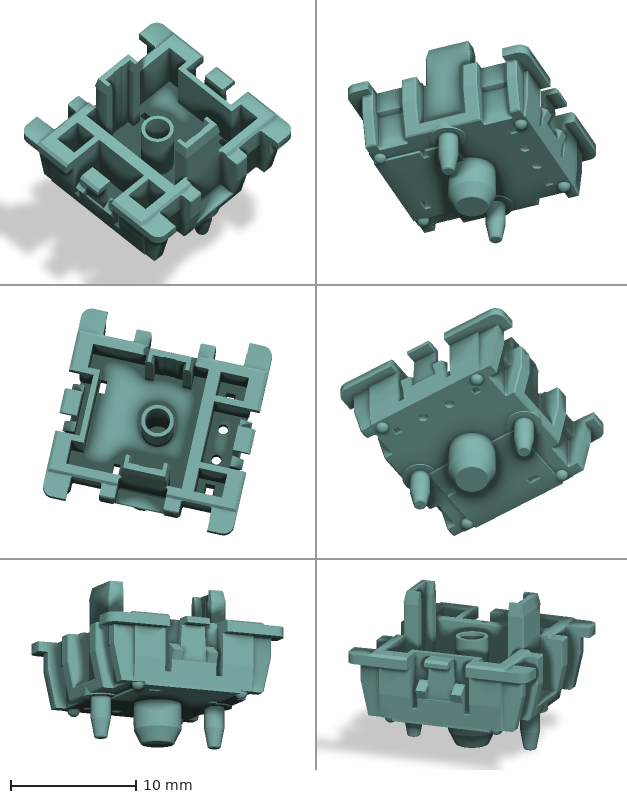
import cadquery as cq


RIM_HALF_X = 5.87
RIM_HALF_Y = 7.8
RIM_BOTTOM = -1.0
BEVEL_X = 0.2
BEVEL_Y = 0.25
BEVEL_Z = 0.2
FLANGE_HALF = 7.8
FLANGE_INNER_Y = 5.8
FLANGE_RADIUS = 0.85

BODY_BOTTOM = -5.5
FLOOR_TOP = -4.5
FACE_HALF_X = 5.21
FACE_Y = 6.95
FACE_FOOT_Y = 6.75
FACE_BEND_Z = -3.5
CORE_HALF_Y = 6.67
SIDE_STEP_TOP = -2.08
SIDE_STEP_FOOT = -2.28
LOWER_HALF_X = 5.42
PAD_BOTTOM = -5.72
PAD_HALF_X = 4.2

RIB_X = 6.95
RIB_FOOT_X = 6.26
RIB_BEND_Z = -2.5
RIB_INNER_Y = 2.0
RIB_OUTER_Y = 3.25
LEG_INNER_Y = 5.76
RIB_BEVEL = 0.1
ROOT = 0.1

CAVITY_HALF_X = 4.98
CAVITY_FRONT_Y = -3.09
CAVITY_MID_Y = 5.37
POCKET_Y = 6.38
POCKET_INNER_X = 3.03
BAY_HALF_X = 2.53
BAY_BACK_Y = -4.07
NOTCH_Y = 5.8

LATCH_HALF_X = 1.95
HEAD_HALF_X = 1.0
HEAD_BOTTOM = -0.55
TONGUE_Y = 6.77
TONGUE_FOOT_HALF_X = 1.17
WING_TOP = -2.08
WING_TIP_Y = 7.34
WING_TIP_Z = -2.75

POST_OUTER_X = 5.16
POST_INNER_X = 3.86
POST_HALF_Y = 1.9
POST_TOP = 3.6
POST_TAPER_Z = 2.6
POST_TAPER = 0.19
POST_BEVEL = 0.13
CHANNEL_X = 4.47
CHANNEL_HALF_Y = 1.19
CHANNEL_TOP_HALF_Y = 1.39
GROOVE_HALF_Y = 0.5
GROOVE_DEPTH = 0.05

SIDE_FLOOR = -4.54
SIDE_POCKET_BEVEL = 0.12

TUBE_RADIUS = 1.3
TUBE_BORE_RADIUS = 1.0
TUBE_TOP = -0.05
PEG_RADIUS = 1.9
PEG_TIP_RADIUS = 1.36
PEG_TIP_BEVEL = 0.06
PEG_CONE_Z = -7.85
PEG_BOTTOM = -9.0
BORE_BOTTOM = -8.0
PIN_X = 5.0
PIN_RADIUS = 0.8
PIN_TIP_RADIUS = 0.52
PIN_TIP_BEVEL = 0.08
PIN_CONE_Z = -7.35
PIN_BOTTOM = -8.9
PIN_BOSS_RADIUS = 2.83 / 2
PIN_BOSS_TOP = -4.75
PIN_BOSS_BOTTOM = -5.6
FOOT_X = 4.55
FOOT_Y = 6.08
FOOT_RADIUS = 0.5
FOOT_Z = -5.55

LED_HOLE_X = 1.26
LED_HOLE_Y = -5.1
LED_HOLE_DIAMETER = 0.8
TERMINAL_X = 3.78
TERMINAL_Y = -5.08
TERMINAL_TOP = (0.86, 0.8)
TERMINAL_BOTTOM = (0.6, 0.6)
SLOT_A = (-4.21, -3.35, 2.28, 2.8)
SLOT_B = (2.0, 3.05, 4.78, 5.31)

CUT_MARGIN = 1.0
TOLERANCE = 0.001


def block(x0, x1, y0, y1, z0, z1):
    return cq.Workplane("XY").box(x1 - x0, y1 - y0, z1 - z0, centered=False).translate((x0, y0, z0))


def extrude_along_x(points_yz, x0, x1):
    return cq.Workplane("YZ", origin=(x0, 0, 0)).polyline(points_yz).close().extrude(x1 - x0)


def extrude_along_y(points_xz, y0, y1):
    return cq.Workplane("XZ", origin=(0, y0, 0)).polyline(points_xz).close().extrude(y0 - y1)


def turned(points_rz):
    return cq.Workplane("XZ").polyline(points_rz).close().revolve(360, (0, 0, 0), (0, 1, 0))


def frustum(size_low, z_low, size_high, z_high):
    return (
        cq.Workplane("XY", origin=(0, 0, z_low))
        .rect(*size_low)
        .workplane(offset=z_high - z_low)
        .rect(*size_high)
        .loft()
    )


def both_sides(shape):
    """The shape and its mirror image across X = 0."""
    return shape.union(shape.mirror("YZ"))


def both_ends(shape):
    """The shape and its mirror image across Y = 0."""
    return shape.union(shape.mirror("XZ"))


def rim():
    full = (2 * RIM_HALF_X, 2 * RIM_HALF_Y)
    top = (full[0] - 2 * BEVEL_X, full[1] - 2 * BEVEL_Y)
    slab = block(-RIM_HALF_X, RIM_HALF_X, -RIM_HALF_Y, RIM_HALF_Y, RIM_BOTTOM, -BEVEL_Z)
    flange = block(-FLANGE_HALF, 0, -FLANGE_HALF, -FLANGE_INNER_Y, RIM_BOTTOM, -BEVEL_Z)
    flange = flange.edges("|Z and <X and <Y").fillet(FLANGE_RADIUS)
    return slab.union(frustum(full, -BEVEL_Z, top, 0)).union(both_ends(both_sides(flange)))


def body():
    core_profile = [
        (0, -BEVEL_Z),
        (-RIM_HALF_X, -BEVEL_Z),
        (-RIM_HALF_X, SIDE_STEP_TOP),
        (-LOWER_HALF_X, SIDE_STEP_FOOT),
        (-LOWER_HALF_X, BODY_BOTTOM),
        (0, BODY_BOTTOM),
    ]
    core = both_sides(extrude_along_y(core_profile, -CORE_HALF_Y, CORE_HALF_Y))
    end_profile = [
        (0, RIM_BOTTOM),
        (-FACE_Y, RIM_BOTTOM),
        (-FACE_Y, FACE_BEND_Z),
        (-FACE_FOOT_Y, BODY_BOTTOM),
        (0, BODY_BOTTOM),
    ]
    ends = both_ends(extrude_along_x(end_profile, -FACE_HALF_X, FACE_HALF_X))
    pad = block(-PAD_HALF_X, PAD_HALF_X, 0, FACE_FOOT_Y, PAD_BOTTOM, FLOOR_TOP)
    return core.union(ends).union(pad)


def side_rib(y0, y1):
    profile = [
        (-FACE_HALF_X, -BEVEL_Z),
        (-RIB_X, -BEVEL_Z),
        (-RIB_X, RIB_BEND_Z),
        (-RIB_FOOT_X, BODY_BOTTOM),
        (-FACE_HALF_X, BODY_BOTTOM),
    ]
    return extrude_along_y(profile, y0, y1)


def on_rib_rim(edge):
    """Whether an edge bounds the outer skin of a rib, leaving out the bend across it."""
    centre = edge.Center()
    below_bend = max(0, RIB_BEND_Z - centre.z)
    skin_x = RIB_X - below_bend * (RIB_X - RIB_FOOT_X) / (RIB_BEND_Z - BODY_BOTTOM)
    return abs(centre.x + skin_x) < TOLERANCE and abs(centre.z - RIB_BEND_Z) > TOLERANCE


def bevel_rim(rib):
    return rib.edges().filter(on_rib_rim).chamfer(RIB_BEVEL)


def corner_strip(corner, dx, dy, z0, z1):
    """Upright triangular strip that fills an inside corner of two walls."""
    x, y = corner
    outline = [(x, y), (x + dx, y), (x, y + dy)]
    return cq.Workplane("XY", origin=(0, 0, z0)).polyline(outline).close().extrude(z1 - z0)


def rib_root(y, dy):
    upper = corner_strip((-RIM_HALF_X, y), -ROOT, dy, SIDE_STEP_TOP, -BEVEL_Z)
    lower = corner_strip((-LOWER_HALF_X, y), -ROOT, dy, BODY_BOTTOM, SIDE_STEP_FOOT)
    return upper.union(lower)


def side_ribs():
    """Legs and ribs; only the legs on the -X side have bevelled edges."""
    plain_leg = side_rib(LEG_INNER_Y, CORE_HALF_Y)
    left_leg = bevel_rim(plain_leg)
    legs = left_leg.union(plain_leg.mirror("YZ")).union(both_sides(rib_root(LEG_INNER_Y, -ROOT)))
    web = bevel_rim(side_rib(-RIB_OUTER_Y, RIB_OUTER_Y).cut(side_pocket()))
    webs = both_sides(web.union(both_ends(rib_root(RIB_OUTER_Y, ROOT))))
    return both_ends(legs).union(webs)


def leg_roots():
    """Strips where the legs on the -X side meet the end faces and the flanges."""
    upright = corner_strip((-FACE_HALF_X, CORE_HALF_Y), -ROOT, ROOT, BODY_BOTTOM, RIM_BOTTOM)
    end_strip = [
        (CORE_HALF_Y, RIM_BOTTOM),
        (CORE_HALF_Y + ROOT, RIM_BOTTOM),
        (CORE_HALF_Y, RIM_BOTTOM - ROOT),
    ]
    side_strip = [
        (-RIB_X, RIM_BOTTOM),
        (-RIB_X - ROOT, RIM_BOTTOM),
        (-RIB_X, RIM_BOTTOM - ROOT),
    ]
    end_root = extrude_along_x(end_strip, -RIB_X + RIB_BEVEL, -FACE_HALF_X)
    side_root = extrude_along_y(side_strip, LEG_INNER_Y + RIB_BEVEL, CORE_HALF_Y - RIB_BEVEL)
    return both_ends(upright.union(end_root).union(side_root))


def side_pocket():
    outside = -RIB_X - CUT_MARGIN
    corner_x = -POST_OUTER_X - SIDE_POCKET_BEVEL
    plan = [(outside, RIB_INNER_Y), (corner_x, RIB_INNER_Y), (-POST_OUTER_X, POST_HALF_Y)]
    plan += [(x, -y) for x, y in reversed(plan)]
    depth = CUT_MARGIN - SIDE_FLOOR
    prism = cq.Workplane("XY", origin=(0, 0, SIDE_FLOOR)).polyline(plan).close().extrude(depth)
    profile = [
        (outside, SIDE_FLOOR),
        (corner_x, SIDE_FLOOR),
        (-POST_OUTER_X, SIDE_FLOOR + SIDE_POCKET_BEVEL),
        (-POST_OUTER_X, CUT_MARGIN),
        (outside, CUT_MARGIN),
    ]
    return prism.intersect(extrude_along_y(profile, -RIB_X, RIB_X))


def pockets():
    top = CUT_MARGIN
    outside = RIM_HALF_Y + CUT_MARGIN
    cavity = block(-CAVITY_HALF_X, CAVITY_HALF_X, CAVITY_FRONT_Y, CAVITY_MID_Y, FLOOR_TOP, top)
    back_corner = block(-CAVITY_HALF_X, -POCKET_INNER_X, 0, POCKET_Y, FLOOR_TOP, top)
    front_corner = block(-CAVITY_HALF_X, -POCKET_INNER_X, -POCKET_Y, BAY_BACK_Y, FLOOR_TOP, top)
    corners = both_sides(back_corner.union(front_corner))
    bay = block(-BAY_HALF_X, BAY_HALF_X, -outside, BAY_BACK_Y, FLOOR_TOP, top)
    notch = block(-BAY_HALF_X, BAY_HALF_X, NOTCH_Y, outside, FLOOR_TOP, top)
    return cavity.union(corners).union(bay).union(notch).union(both_sides(side_pocket()))


def latch():
    slope = (FACE_Y - FACE_FOOT_Y) / (FACE_BEND_Z - BODY_BOTTOM)
    floor_y = FACE_Y - slope * (FACE_BEND_Z - FLOOR_TOP)
    sill_profile = [
        (POCKET_Y, FLOOR_TOP),
        (floor_y, FLOOR_TOP),
        (FACE_Y, FACE_BEND_Z),
        (POCKET_Y, FACE_BEND_Z),
    ]
    sill = extrude_along_x(sill_profile, -LATCH_HALF_X, LATCH_HALF_X)
    tongue_outline = [
        (-TONGUE_FOOT_HALF_X, FACE_BEND_Z),
        (-HEAD_HALF_X, HEAD_BOTTOM),
        (HEAD_HALF_X, HEAD_BOTTOM),
        (TONGUE_FOOT_HALF_X, FACE_BEND_Z),
    ]
    tongue = extrude_along_y(tongue_outline, POCKET_Y, TONGUE_Y)
    tongue_gap = extrude_along_y(tongue_outline, POCKET_Y, WING_TIP_Y)
    head_profile = [
        (POCKET_Y, HEAD_BOTTOM),
        (RIM_HALF_Y, HEAD_BOTTOM),
        (RIM_HALF_Y, -BEVEL_Z),
        (RIM_HALF_Y - BEVEL_Y, 0),
        (POCKET_Y, 0),
    ]
    head = extrude_along_x(head_profile, -HEAD_HALF_X, HEAD_HALF_X)
    wing_profile = [
        (POCKET_Y, FACE_BEND_Z),
        (FACE_Y, FACE_BEND_Z),
        (WING_TIP_Y, WING_TIP_Z),
        (POCKET_Y, WING_TOP),
    ]
    wings = extrude_along_x(wing_profile, -LATCH_HALF_X, LATCH_HALF_X).cut(tongue_gap)
    return sill.union(tongue).union(head).union(wings)


def post():
    depth_x = POST_OUTER_X - POST_INNER_X
    shaft = block(-POST_OUTER_X, -POST_INNER_X, -POST_HALF_Y, POST_HALF_Y, FLOOR_TOP, POST_TAPER_Z)
    shaft = shaft.edges("|Z and <X").chamfer(POST_BEVEL)
    tip = frustum(
        (2 * depth_x, 2 * POST_HALF_Y),
        POST_TAPER_Z,
        (2 * (depth_x - POST_TAPER), 2 * (POST_HALF_Y - POST_TAPER)),
        POST_TOP,
    ).translate((-POST_INNER_X, 0, 0))
    inner_half = block(-POST_INNER_X, 0, -POST_HALF_Y, POST_HALF_Y, POST_TAPER_Z, POST_TOP)
    shaft = shaft.union(tip.cut(inner_half))
    channel_outline = [
        (CHANNEL_HALF_Y, FLOOR_TOP),
        (CHANNEL_HALF_Y, POST_TAPER_Z),
        (CHANNEL_TOP_HALF_Y, POST_TOP),
        (-CHANNEL_TOP_HALF_Y, POST_TOP),
        (-CHANNEL_HALF_Y, POST_TAPER_Z),
        (-CHANNEL_HALF_Y, FLOOR_TOP),
    ]
    channel = extrude_along_x(channel_outline, -CHANNEL_X, 0)
    groove_x = -CHANNEL_X - GROOVE_DEPTH
    groove = block(groove_x, 0, -GROOVE_HALF_Y, GROOVE_HALF_Y, FLOOR_TOP, POST_TOP)
    return shaft.cut(channel).cut(groove)


def pin():
    shank = turned([
        (0, PIN_BOTTOM),
        (PIN_TIP_RADIUS - PIN_TIP_BEVEL, PIN_BOTTOM),
        (PIN_TIP_RADIUS, PIN_BOTTOM + PIN_TIP_BEVEL),
        (PIN_RADIUS, PIN_CONE_Z),
        (PIN_RADIUS, PIN_BOSS_TOP),
        (0, PIN_BOSS_TOP),
    ])
    boss_height = PIN_BOSS_TOP - PIN_BOSS_BOTTOM
    boss = cq.Workplane("XY", origin=(0, 0, PIN_BOSS_BOTTOM)).circle(PIN_BOSS_RADIUS).extrude(boss_height)
    return shank.union(boss).translate((-PIN_X, 0, 0))


def centre_peg():
    return turned([
        (0, PEG_BOTTOM),
        (PEG_TIP_RADIUS - PEG_TIP_BEVEL, PEG_BOTTOM),
        (PEG_TIP_RADIUS, PEG_BOTTOM + PEG_TIP_BEVEL),
        (PEG_RADIUS, PEG_CONE_Z),
        (PEG_RADIUS, FLOOR_TOP),
        (TUBE_RADIUS, FLOOR_TOP),
        (TUBE_RADIUS, TUBE_TOP),
        (0, TUBE_TOP),
    ])


def feet():
    foot = cq.Workplane("XY").sphere(FOOT_RADIUS).translate((-FOOT_X, -FOOT_Y, FOOT_Z))
    return both_ends(both_sides(foot))


def floor_openings():
    below = BODY_BOTTOM - CUT_MARGIN
    height = FLOOR_TOP - below
    openings = (
        cq.Workplane("XY", origin=(0, 0, below))
        .pushPoints([(-LED_HOLE_X, LED_HOLE_Y), (LED_HOLE_X, LED_HOLE_Y)])
        .circle(LED_HOLE_DIAMETER / 2)
        .extrude(height)
    )
    terminal = frustum(TERMINAL_BOTTOM, BODY_BOTTOM, TERMINAL_TOP, FLOOR_TOP)
    openings = openings.union(both_sides(terminal.translate((-TERMINAL_X, TERMINAL_Y, 0))))
    for slot in (SLOT_A, SLOT_B):
        openings = openings.union(block(*slot, below, FLOOR_TOP))
    return openings


def tube_bore():
    depth = TUBE_TOP - BORE_BOTTOM
    return cq.Workplane("XY", origin=(0, 0, BORE_BOTTOM)).circle(TUBE_BORE_RADIUS).extrude(depth)


housing = rim().union(body()).union(side_ribs()).union(leg_roots()).cut(pockets())
housing = housing.union(both_ends(latch())).union(both_sides(post()))
housing = housing.union(both_sides(pin())).union(centre_peg()).union(feet())
result = housing.cut(floor_openings()).cut(tube_bore())